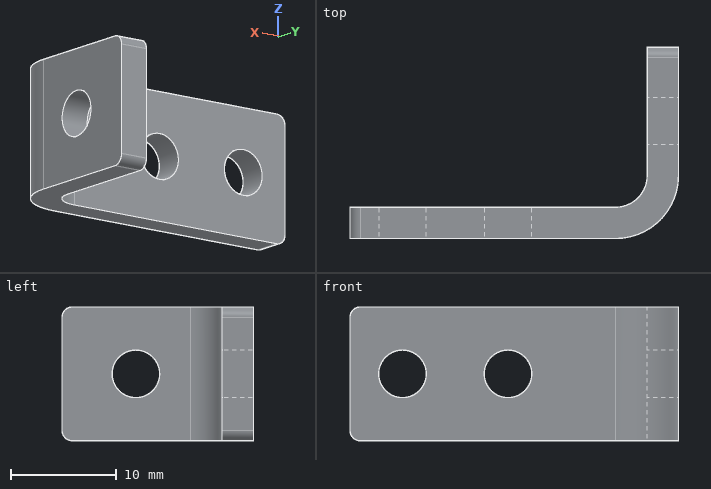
import cadquery as cq

length = 31.15
depth = 18.15
height = 12.7

thickness = 3.0
inner_bend_radius = 3.0
outer_bend_radius = inner_bend_radius + thickness
corner_radius = 1.0

hole_diameter = 4.5
end_hole_inset = 4.98
hole_pitch = 10.0
short_leg_hole_inset = 7.0


def bent_strip():
    """L-shaped strip lying along X, with its short leg turned toward +Y."""
    strip = (
        cq.Workplane("XY")
        .polyline([
            (0, 0),
            (length, 0),
            (length, depth),
            (length - thickness, depth),
            (length - thickness, thickness),
            (0, thickness),
        ])
        .close()
        .extrude(height)
    )
    inner_corner = cq.selectors.NearestToPointSelector((length - thickness, thickness, height / 2))
    outer_corner = cq.selectors.NearestToPointSelector((length, 0, height / 2))
    strip = strip.edges("|Z").edges(inner_corner).fillet(inner_bend_radius)
    return strip.edges("|Z").edges(outer_corner).fillet(outer_bend_radius)


def round_leg_ends(strip):
    """Round the top and bottom corners at the free end of each leg."""
    strip = strip.faces("<X").edges("|Y").fillet(corner_radius)
    return strip.faces(">Y").edges("|X").fillet(corner_radius)


def hole_cutter(start, direction):
    """Cylinder that passes through one sheet thickness."""
    return cq.Workplane(
        cq.Solid.makeCylinder(hole_diameter / 2, thickness, cq.Vector(*start), cq.Vector(*direction))
    )


result = round_leg_ends(bent_strip())

for hole_x in (end_hole_inset, end_hole_inset + hole_pitch):
    result = result.cut(hole_cutter((hole_x, 0, height / 2), (0, 1, 0)))

short_leg_hole_start = (length - thickness, depth - short_leg_hole_inset, height / 2)
result = result.cut(hole_cutter(short_leg_hole_start, (1, 0, 0)))